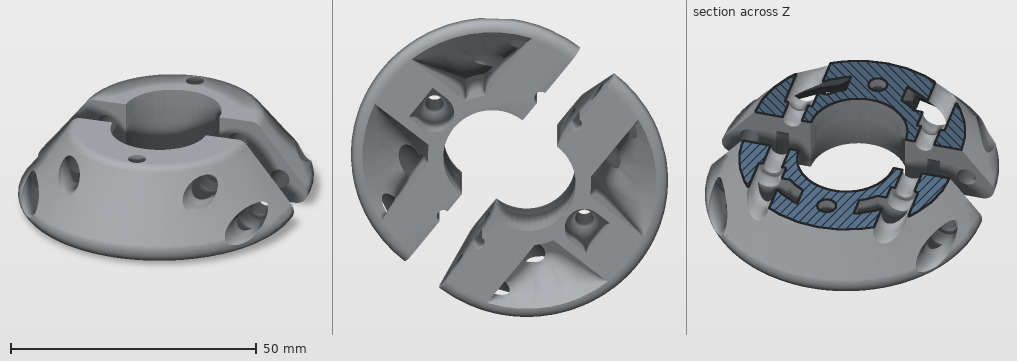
import cadquery as cq
import math


outer_radius = 57.65 / 2
overall_length = 66.65
height = 17.0
bore_radius = 10.0
half_gap = overall_length / 2 - outer_radius

shell_thickness = 5.0

cone_angle = math.radians(51.5)
edge_radius = shell_thickness / 2
foot_half_angle = (math.pi - cone_angle) / 2
base_radius = outer_radius + edge_radius * (math.tan(foot_half_angle) - 1)
top_radius = base_radius - height / math.tan(cone_angle)

core_radius = 13.1
rib_half_width = 6.0
split_wall = 9.3
pocket_base_radius = base_radius - shell_thickness
pocket_height = (pocket_base_radius - core_radius) * math.tan(cone_angle)

screw_axes = [(14.0, 12.0), (23.0, 5.0)]
screw_diameter = 4.0
head_diameter = 5.7
front_seat_depth = 5.0
rear_seat_depth = 6.0

mount_radius = 15.0
mount_diameter = 3.7
slot_width = 8.0
slot_height = 7.0
slot_end = 18.65

dowel_x = 16.0
dowel_diameter = 2.7
dowel_depth = 8.0


def revolve_full(points):
    """Solid of revolution about Z from (radius, z) points."""
    return cq.Workplane("XZ").polyline(points).close().revolve(360, (0, 0, 0), (0, 1, 0))


def rear_quarter(side, x_start, y_start):
    """Block behind y_start and outside x_start, on the +X or -X side."""
    block = (
        cq.Workplane("XY")
        .box(outer_radius, outer_radius, height, centered=False)
        .translate((x_start, y_start, 0))
    )
    return block if side > 0 else block.mirror("YZ")


def ring_blank():
    """Rear half of the rounded conical ring, with its split face on y = 0."""
    ring = revolve_full(
        [(bore_radius, 0), (base_radius, 0), (top_radius, height), (bore_radius, height)]
    )
    outermost = cq.selectors.RadiusNthSelector(-1)
    ring = ring.faces("<Z").edges(outermost).fillet(edge_radius)
    ring = ring.faces(">Z").edges(outermost).fillet(edge_radius)
    rear_side = cq.Workplane("XY").box(
        2 * outer_radius, outer_radius, height, centered=(True, False, False)
    )
    return ring.intersect(rear_side)


def pocket(side):
    """Hollow between the core and the shell; its ceiling runs parallel to the outer cone."""
    cavity = revolve_full(
        [(core_radius, 0), (pocket_base_radius, 0), (core_radius, pocket_height)]
    )
    return cavity.intersect(rear_quarter(side, rib_half_width, split_wall))


def cylinder_along_y(x, y_start, z, diameter):
    """Cylinder from y_start to beyond the outside of the ring."""
    return (
        cq.Workplane("XZ", origin=(x, y_start, z)).circle(diameter / 2).extrude(-outer_radius)
    )


def screw_hole(x, z, seat_depth):
    """Screw hole from the split face with a wider head bore beyond the seat."""
    shank = cylinder_along_y(x, 0, z, screw_diameter)
    head = cylinder_along_y(x, seat_depth, z, head_diameter)
    return shank.union(head)


def mounting_hole():
    """Vertical hole through the rib, with a slot below that is round toward the bore."""
    hole = cq.Workplane("XY").center(0, mount_radius).circle(mount_diameter / 2).extrude(height)
    half_width = slot_width / 2
    slot = (
        cq.Workplane("XY")
        .moveTo(half_width, slot_end)
        .lineTo(half_width, mount_radius)
        .threePointArc((0, mount_radius - half_width), (-half_width, mount_radius))
        .lineTo(-half_width, slot_end)
        .close()
        .extrude(slot_height)
    )
    return hole.union(slot)


def dowel_socket(x):
    return cq.Workplane("XY").center(x, 0).circle(dowel_diameter / 2).extrude(dowel_depth)


def half_ring(seat_depth):
    """Rear half ring, moved back from the split plane by half the gap."""
    body = ring_blank().cut(mounting_hole())
    for side in (1, -1):
        body = body.cut(pocket(side))
        body = body.cut(dowel_socket(side * dowel_x))
        for x, z in screw_axes:
            body = body.cut(screw_hole(side * x, z, seat_depth))
    return body.translate((0, half_gap, 0))


rear_half = half_ring(rear_seat_depth)
front_half = half_ring(front_seat_depth).mirror("XZ")

result = cq.Compound.makeCompound([rear_half.solids().val(), front_half.solids().val()])